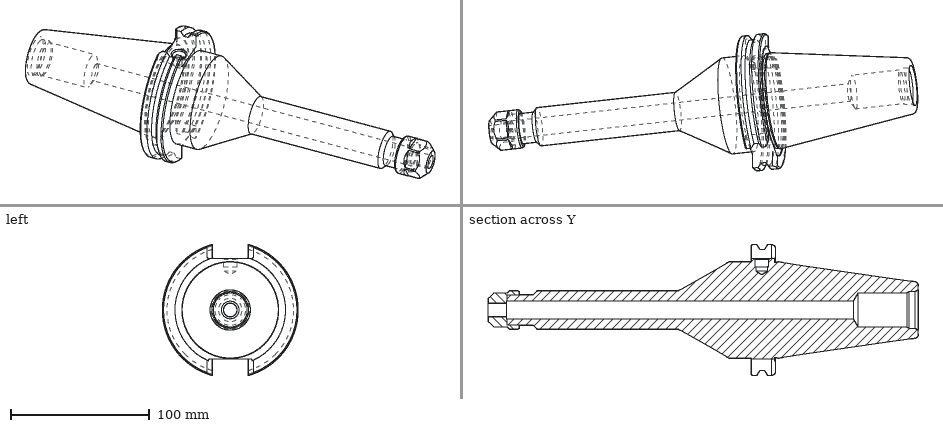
import cadquery as cq
import math

TOTAL_LENGTH = 310.5
GAUGE_X = 101.2
FLANGE_FRONT_X = 103.0
FLANGE_REAR_X = 120.7
CONE_START_X = 136.5
CONE_END_X = 173.2
TUBE_END_X = 275.0
NUT_BACK_X = 287.7

GAUGE_DIAMETER = 69.8
TAPER_RATIO = 7 / 24
TAPER_END_DIAMETER = GAUGE_DIAMETER - TAPER_RATIO * GAUGE_X
TAPER_END_FILLET = 3.0
UNDERCUT_DIAMETER = 69.2
UNDERCUT_CHAMFER_LENGTH = 1.0

FLANGE_DIAMETER = 98.0
FLANGE_CHAMFER = 1.0
FACE_RECESS_DIAMETER = 79.8
FACE_RECESS_DEPTH = 0.5
GROOVE_CENTER_X = 112.7
GROOVE_TOP_WIDTH = 7.8
GROOVE_BOTTOM_WIDTH = 3.5
GROOVE_DEPTH = 3.5

SLOT_WIDTH = 25.8
UPPER_SLOT_FLOOR = 37.2
LOWER_SLOT_FLOOR = 35.5
SLOT_CHAMFER_WIDTH = 3.7
SLOT_CHAMFER_LENGTH = 2.8
SLOT_FLOOR_FILLET = 0.5

SCREW_CENTER_X = 113.0
SCREW_MOUTH_DIAMETER = 11.5
SCREW_THREAD_DIAMETER = 9.5
SCREW_THREAD_DEPTH = 6.2
SCREW_HOLE_DIAMETER = 8.0
SCREW_HOLE_DEPTH = 9.3
DRILL_POINT_ANGLE = 118.0

TUBE_DIAMETER = 28.0
NECK_DIAMETER = 22.0
TUBE_CHAMFER = (TUBE_DIAMETER - NECK_DIAMETER) / 2
NECK_IN_NUT = 9.3
NECK_END_X = NUT_BACK_X + NECK_IN_NUT

BORE_MOUTH_DIAMETER = 29.2
BORE_MOUTH_LENGTH = 2.5
BORE_ENTRY_DIAMETER = 26.5
BORE_ENTRY_DEPTH = 6.8
BORE_STEP_LENGTH = 1.5
THREAD_DIAMETER = 24.5
THREAD_DEPTH = 43.5
CHANNEL_DIAMETER = 12.7

NUT_DIAMETER = 28.0
NUT_BACK_CHAMFER_LENGTH = 1.2
NUT_BACK_DIAMETER = 26.5
NUT_HOLE_DIAMETER = 9.5
NUT_NOSE_DIAMETER = 16.8
NUT_NOSE_LENGTH = 6.0
HEX_ACROSS_FLATS = 24.8
HEX_COUNT = 6
HEX_START_X = 296.5
HEX_RUNOUT_LENGTH = 1.5


def revolve_profile(points):
    """Revolve a closed outline of (x, radius) points about the X axis."""
    return cq.Workplane("XY").polyline(points).close().revolve(360, (0, 0, 0), (1, 0, 0))


def holder_blank():
    gauge_radius = GAUGE_DIAMETER / 2
    undercut_radius = UNDERCUT_DIAMETER / 2
    flange_radius = FLANGE_DIAMETER / 2
    neck_radius = NECK_DIAMETER / 2
    tube_radius = TUBE_DIAMETER / 2
    recess_floor_x = FLANGE_FRONT_X + FACE_RECESS_DEPTH
    blank = revolve_profile([
        (0, 0),
        (0, TAPER_END_DIAMETER / 2),
        (GAUGE_X, gauge_radius),
        (GAUGE_X + UNDERCUT_CHAMFER_LENGTH, undercut_radius),
        (recess_floor_x, undercut_radius),
        (recess_floor_x, FACE_RECESS_DIAMETER / 2),
        (FLANGE_FRONT_X, FACE_RECESS_DIAMETER / 2),
        (FLANGE_FRONT_X, flange_radius - FLANGE_CHAMFER),
        (FLANGE_FRONT_X + FLANGE_CHAMFER, flange_radius),
        (FLANGE_REAR_X - FLANGE_CHAMFER, flange_radius),
        (FLANGE_REAR_X, flange_radius - FLANGE_CHAMFER),
        (FLANGE_REAR_X, gauge_radius),
        (CONE_START_X, gauge_radius),
        (CONE_END_X, tube_radius),
        (TUBE_END_X, tube_radius),
        (TUBE_END_X + TUBE_CHAMFER, neck_radius),
        (NECK_END_X, neck_radius),
        (NECK_END_X, 0),
    ])
    return blank.faces("<X").edges().fillet(TAPER_END_FILLET)


def gripper_groove():
    """V-shaped ring with a flat bottom, cut into the flange rim."""
    rim_radius = FLANGE_DIAMETER / 2
    bottom_radius = rim_radius - GROOVE_DEPTH
    return revolve_profile([
        (GROOVE_CENTER_X - GROOVE_TOP_WIDTH / 2, rim_radius),
        (GROOVE_CENTER_X - GROOVE_BOTTOM_WIDTH / 2, bottom_radius),
        (GROOVE_CENTER_X + GROOVE_BOTTOM_WIDTH / 2, bottom_radius),
        (GROOVE_CENTER_X + GROOVE_TOP_WIDTH / 2, rim_radius),
    ])


def drive_slot(floor_height):
    """Slot through the top of the flange, its floor at the given height above the axis."""
    half_width = SLOT_WIDTH / 2
    mouth_half_width = half_width + SLOT_CHAMFER_WIDTH
    outline = [
        (FLANGE_FRONT_X, -mouth_half_width),
        (FLANGE_FRONT_X + SLOT_CHAMFER_LENGTH, -half_width),
        (FLANGE_REAR_X, -half_width),
        (FLANGE_REAR_X, half_width),
        (FLANGE_FRONT_X + SLOT_CHAMFER_LENGTH, half_width),
        (FLANGE_FRONT_X, mouth_half_width),
    ]
    height = FLANGE_DIAMETER / 2 - floor_height
    slot = cq.Workplane("XY").workplane(offset=floor_height).polyline(outline).close().extrude(height)
    return slot.faces("<Z").edges("not #X").fillet(SLOT_FLOOR_FILLET)


def screw_hole():
    """Stepped blind hole with a chamfered mouth and a drill-point bottom, in the upper slot floor."""
    mouth_radius = SCREW_MOUTH_DIAMETER / 2
    hole_radius = SCREW_HOLE_DIAMETER / 2
    thread_radius = SCREW_THREAD_DIAMETER / 2
    sink_depth = mouth_radius - thread_radius
    thread_bottom_z = UPPER_SLOT_FLOOR - SCREW_THREAD_DEPTH
    bottom_z = UPPER_SLOT_FLOOR - SCREW_HOLE_DEPTH
    point_depth = hole_radius / math.tan(math.radians(DRILL_POINT_ANGLE / 2))
    outline = [
        (0, UPPER_SLOT_FLOOR),
        (mouth_radius, UPPER_SLOT_FLOOR),
        (thread_radius, UPPER_SLOT_FLOOR - sink_depth),
        (thread_radius, thread_bottom_z),
        (hole_radius, thread_bottom_z),
        (hole_radius, bottom_z),
        (0, bottom_z - point_depth),
    ]
    hole = cq.Workplane("XZ").polyline(outline).close().revolve(360, (0, 0, 0), (0, 1, 0))
    return hole.translate((SCREW_CENTER_X, 0, 0))


def holder_bore():
    """Stepped bore from the taper end, leading through a cone into the long channel."""
    entry_radius = BORE_ENTRY_DIAMETER / 2
    thread_radius = THREAD_DIAMETER / 2
    channel_radius = CHANNEL_DIAMETER / 2
    cone_length = (thread_radius - channel_radius) / math.tan(math.radians(DRILL_POINT_ANGLE / 2))
    return revolve_profile([
        (0, 0),
        (0, BORE_MOUTH_DIAMETER / 2),
        (BORE_MOUTH_LENGTH, entry_radius),
        (BORE_ENTRY_DEPTH, entry_radius),
        (BORE_ENTRY_DEPTH + BORE_STEP_LENGTH, thread_radius),
        (THREAD_DEPTH, thread_radius),
        (THREAD_DEPTH + cone_length, channel_radius),
        (NECK_END_X, channel_radius),
        (NECK_END_X, 0),
    ])


def make_holder():
    holder = holder_blank().cut(gripper_groove()).cut(holder_bore())
    upper_slot = drive_slot(UPPER_SLOT_FLOOR)
    lower_slot = drive_slot(LOWER_SLOT_FLOOR).rotate((0, 0, 0), (1, 0, 0), 180)
    for cutter in (upper_slot, lower_slot, screw_hole()):
        holder = holder.cut(cutter)
    return holder


def hex_flat_cutter():
    """Material above one hexagon flat, with a sloping runout towards the nut collar."""
    flat_z = HEX_ACROSS_FLATS / 2
    rim_z = NUT_DIAMETER / 2
    outline = [
        (HEX_START_X, flat_z),
        (TOTAL_LENGTH, flat_z),
        (TOTAL_LENGTH, rim_z),
        (HEX_START_X - HEX_RUNOUT_LENGTH, rim_z),
    ]
    return cq.Workplane("XZ").polyline(outline).close().extrude(NUT_DIAMETER / 2, both=True)


def make_nut():
    nut_radius = NUT_DIAMETER / 2
    neck_radius = NECK_DIAMETER / 2
    hole_radius = NUT_HOLE_DIAMETER / 2
    nut = revolve_profile([
        (NUT_BACK_X, neck_radius),
        (NUT_BACK_X, NUT_BACK_DIAMETER / 2),
        (NUT_BACK_X + NUT_BACK_CHAMFER_LENGTH, nut_radius),
        (TOTAL_LENGTH - NUT_NOSE_LENGTH, nut_radius),
        (TOTAL_LENGTH, NUT_NOSE_DIAMETER / 2),
        (TOTAL_LENGTH, hole_radius),
        (NECK_END_X, hole_radius),
        (NECK_END_X, neck_radius),
    ])
    for index in range(HEX_COUNT):
        angle = index * 360 / HEX_COUNT
        nut = nut.cut(hex_flat_cutter().rotate((0, 0, 0), (1, 0, 0), angle))
    return nut


holder = make_holder()
nut = make_nut()

result = cq.Compound.makeCompound([holder.val(), nut.val()])